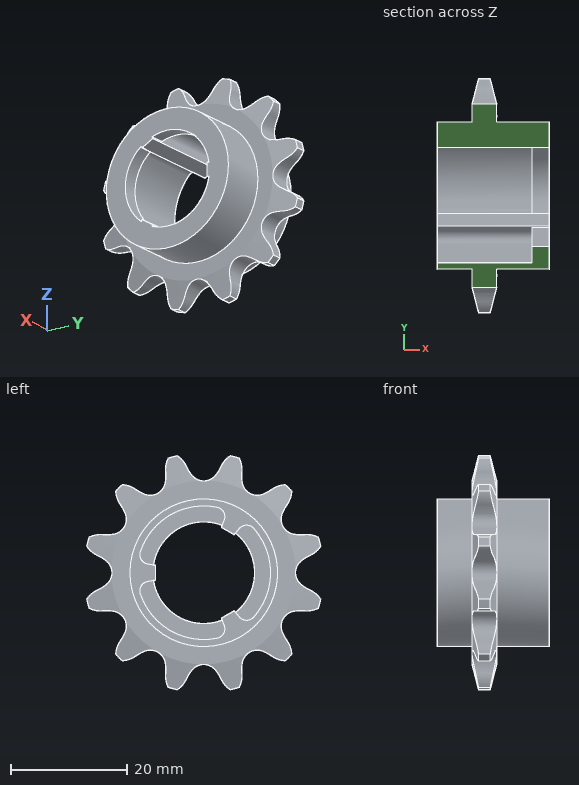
import math

import cadquery as cq

INCH = 25.4
tooth_count = 12
chain_pitch = 0.375 * INCH
roller_diameter = 0.200 * INCH
outside_radius = 20.655

front_hub_length = 6.0
plate_thickness = 0.168 * INCH
total_length = 19.32
lip_thickness = 3.0

tip_land_width = 2.0

hub_radius = 0.5 * INCH
bore_radius = 0.6875 * INCH / 2
pocket_radius = 11.5
pocket_fillet = 1.65

key_count = 3
key_tip_distance = 8.27
key_angle = 17.6
first_key_direction = 0.0

half_tooth_angle = 180 / tooth_count
pitch_radius = chain_pitch / (2 * math.sin(math.radians(half_tooth_angle)))
seating_radius = (1.005 * roller_diameter + 0.003 * INCH) / 2
root_radius = pitch_radius - seating_radius
seating_angle = 35 + 60 / tooth_count
working_angle = 18 - 56 / tooth_count
working_center_distance = 0.8 * roller_diameter
working_radius = working_center_distance + seating_radius
topping_center_distance = 1.4 * roller_diameter
topping_angle = 17 - 64 / tooth_count
flank_length = topping_center_distance * math.sin(
    math.radians(topping_angle)
) - working_center_distance * math.sin(math.radians(working_angle))


def polar(radius, angle, center=(0, 0)):
    """Point at a radius and an angle in degrees from a center."""
    turn = math.radians(angle)
    return center[0] + radius * math.cos(turn), center[1] + radius * math.sin(turn)


def rotated(point, angle):
    """Point turned about the origin by an angle in degrees."""
    radius = math.hypot(*point)
    return polar(radius, math.degrees(math.atan2(point[1], point[0])) + angle)


def mirrored(point):
    """Point reflected across the gap centerline."""
    return -point[0], point[1]


def full_length_cylinder(radius):
    """Cylinder on the X axis, as long as the part."""
    return cq.Workplane("YZ").circle(radius).extrude(total_length)


def tooth_flank():
    """Points up one flank of a gap centered on the second axis, from the seat to the tooth tip."""
    roller_center = (0, pitch_radius)
    seat_end = polar(seating_radius, -seating_angle, roller_center)

    working_center = polar(working_center_distance, 180 - seating_angle, roller_center)
    flank_angle = working_angle - seating_angle
    working_middle = polar(working_radius, working_angle / 2 - seating_angle, working_center)
    working_end = polar(working_radius, flank_angle, working_center)
    flank_end = polar(flank_length, flank_angle + 90, working_end)

    topping_center = polar(topping_center_distance, -half_tooth_angle, roller_center)
    topping_radius = math.dist(topping_center, flank_end)
    center_radius = math.hypot(*topping_center)
    center_angle = math.degrees(math.atan2(topping_center[1], topping_center[0]))
    swing_cosine = (center_radius**2 + outside_radius**2 - topping_radius**2) / (
        2 * center_radius * outside_radius
    )
    tip = polar(outside_radius, center_angle + math.degrees(math.acos(swing_cosine)))
    start_angle = math.atan2(flank_end[1] - topping_center[1], flank_end[0] - topping_center[0])
    tip_angle = math.atan2(tip[1] - topping_center[1], tip[0] - topping_center[0])
    topping_middle = polar(topping_radius, math.degrees(start_angle + tip_angle) / 2, topping_center)
    return seat_end, working_middle, working_end, flank_end, topping_middle, tip


def add_gap(outline, turn):
    """Continue the outline down one flank, round the seat, up the other flank and across a tooth tip."""
    right_flank = tooth_flank()
    left_flank = [mirrored(point) for point in right_flank]
    seat_end, working_middle, working_end, flank_end, topping_middle, tip = [
        rotated(point, turn) for point in right_flank
    ]
    left_seat_end, left_working_middle, left_working_end, left_flank_end, left_topping_middle, left_tip = [
        rotated(point, turn) for point in left_flank
    ]
    seat_bottom = rotated((0, root_radius), turn)
    tip_middle = polar(outside_radius, 90 - half_tooth_angle + turn)
    next_tip = rotated(left_tip, -2 * half_tooth_angle)
    return (
        outline.threePointArc(left_topping_middle, left_flank_end)
        .lineTo(*left_working_end)
        .threePointArc(left_working_middle, left_seat_end)
        .threePointArc(seat_bottom, seat_end)
        .threePointArc(working_middle, working_end)
        .lineTo(*flank_end)
        .threePointArc(topping_middle, tip)
        .threePointArc(tip_middle, next_tip)
    )


def toothed_plate():
    """Sprocket plate with its teeth, chamfered on both sides."""
    first_tip = mirrored(tooth_flank()[-1])
    outline = cq.Workplane("YZ", origin=(front_hub_length, 0, 0)).moveTo(*first_tip)
    for index in range(tooth_count):
        outline = add_gap(outline, -index * 360 / tooth_count)
    plate = outline.close().extrude(plate_thickness)
    return plate.intersect(chamfered_blank())


def chamfered_blank():
    """Disc tapering from the root circle out to the tooth tip land."""
    back = front_hub_length + plate_thickness
    taper_depth = (plate_thickness - tip_land_width) / 2
    profile = [
        (front_hub_length, 0),
        (front_hub_length, root_radius),
        (front_hub_length + taper_depth, outside_radius),
        (back - taper_depth, outside_radius),
        (back, root_radius),
        (back, 0),
    ]
    return cq.Workplane("XY").polyline(profile).close().revolve(360, (0, 0, 0), (1, 0, 0))


def pocket(key_direction):
    """Arc-shaped pocket between the key at the given direction and the next key."""
    start = key_direction + key_angle / 2
    end = key_direction + 360 / key_count - key_angle / 2
    middle = (start + end) / 2
    sector = (
        cq.Workplane("YZ")
        .moveTo(0, 0)
        .lineTo(*polar(pocket_radius, start))
        .threePointArc(polar(pocket_radius, middle), polar(pocket_radius, end))
        .close()
        .extrude(total_length - lip_thickness)
    )
    ring = sector.cut(full_length_cylinder(key_tip_distance))
    start_corner = cq.selectors.NearestToPointSelector((total_length / 2, *polar(pocket_radius, start)))
    end_corner = cq.selectors.NearestToPointSelector((total_length / 2, *polar(pocket_radius, end)))
    return ring.edges("|X").edges(start_corner + end_corner).fillet(pocket_fillet)


def key(direction):
    """Full-length key with radial sides and a flat tip."""
    half_angle = key_angle / 2
    tip_radius = key_tip_distance / math.cos(math.radians(half_angle))
    base_radius = (bore_radius + pocket_radius) / 2
    return (
        cq.Workplane("YZ")
        .moveTo(*polar(tip_radius, direction - half_angle))
        .lineTo(*polar(tip_radius, direction + half_angle))
        .lineTo(*polar(base_radius, direction + half_angle))
        .lineTo(*polar(base_radius, direction - half_angle))
        .close()
        .extrude(total_length)
    )


key_directions = [first_key_direction + index * 360 / key_count for index in range(key_count)]

body = full_length_cylinder(hub_radius).union(toothed_plate())
body = body.cut(full_length_cylinder(bore_radius))
for key_direction in key_directions:
    body = body.cut(pocket(key_direction))
for key_direction in key_directions:
    body = body.union(key(key_direction))

result = body